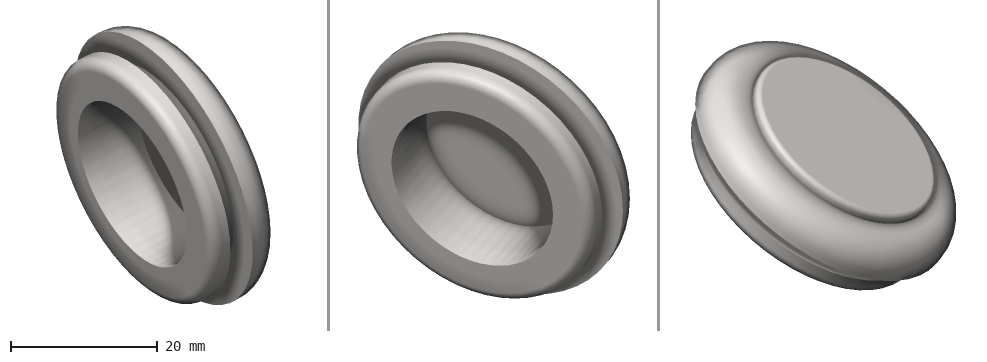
import cadquery as cq

total_length = 11.8
front_radius = 18.5
front_thickness = 3.0
front_fillet = 1.5
groove_radius = 16.0
groove_width = 2.3
flange_radius = 20.5
flange_thickness = 5.0
flange_fillet = 4.0
cap_radius = 14.5
cap_fillet = 0.75
bore_radius = 12.5
bore_depth = 10.0

front_y = -total_length / 2
groove_y = front_y + front_thickness
flange_y = groove_y + groove_width
cap_y = flange_y + flange_thickness
cap_thickness = total_length / 2 - cap_y


def disc(radius, start_y, thickness):
    """Solid disc on the Y axis, growing from start_y towards +Y."""
    plane = cq.Workplane("XZ", origin=(0, start_y, 0))
    return plane.circle(radius).extrude(-thickness)


front_lip = disc(front_radius, front_y, front_thickness).faces("<Y").edges().fillet(front_fillet)
groove_core = disc(groove_radius, groove_y, groove_width)
flange = disc(flange_radius, flange_y, flange_thickness).faces(">Y").edges().fillet(flange_fillet)
cap = disc(cap_radius, cap_y, cap_thickness).faces(">Y").edges().fillet(cap_fillet)

bore = disc(bore_radius, front_y, bore_depth)

result = front_lip.union(groove_core).union(flange).union(cap).cut(bore)